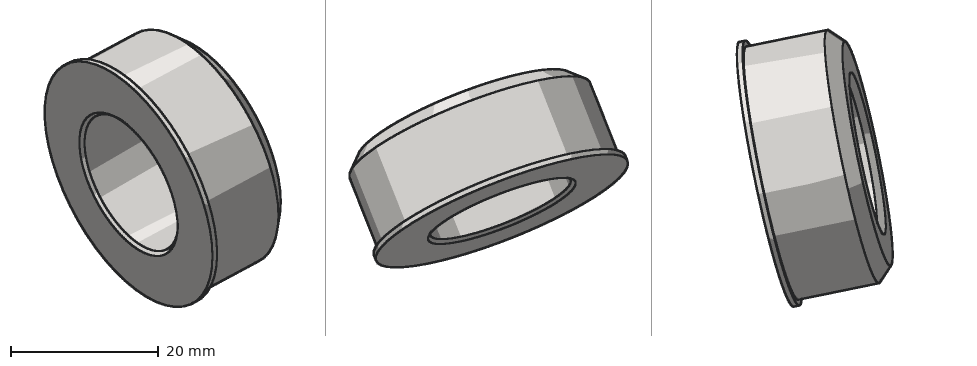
import cadquery as cq

length = 14.0
flange_diameter = 36.6
flange_thickness = 0.8
body_diameter = 35.0
bore_diameter = 20.4
body_chamfer = 2.0
front_bore_chamfer = 0.5
rear_bore_chamfer = 1.0


def cylinder(diameter, height):
    """Cylinder along +Y that starts on the flanged face."""
    return cq.Workplane("XZ").circle(diameter / 2).extrude(-height)


body = cylinder(body_diameter, length).faces(">Y").chamfer(body_chamfer)

flange = cylinder(flange_diameter, flange_thickness)

ring = body.union(flange).cut(cylinder(bore_diameter, length))

bore_mouth = cq.selectors.RadiusNthSelector(0)
ring = ring.faces("<Y").edges(bore_mouth).chamfer(front_bore_chamfer)
result = ring.faces(">Y").edges(bore_mouth).chamfer(rear_bore_chamfer)